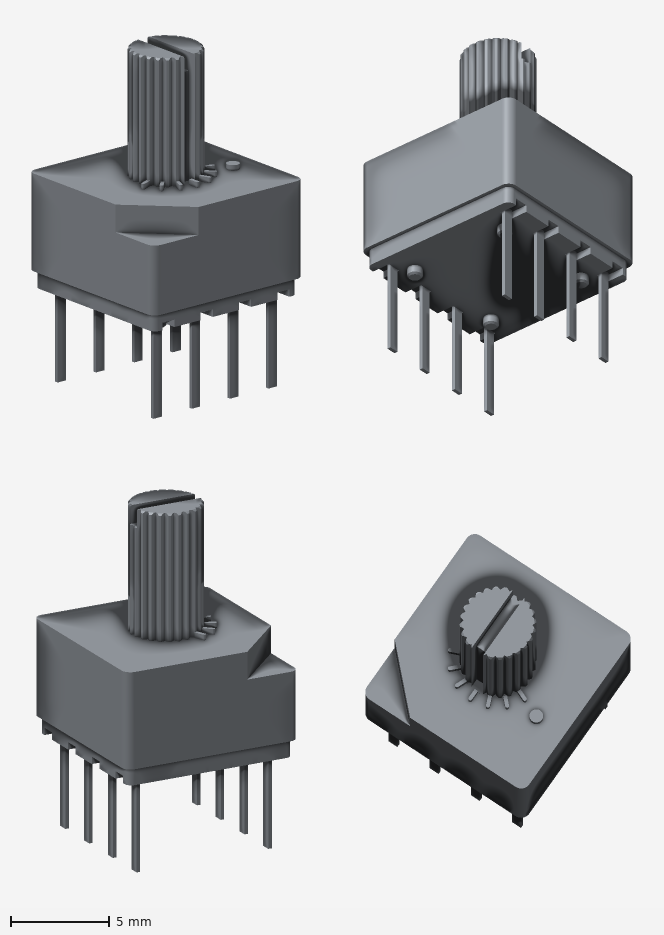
import cadquery as cq
import math


housing_side = 10.0
housing_corner_radius = 0.5
housing_height = 5.25
base_side = 9.53
base_corner_radius = 0.4
base_height = 0.95
housing_top = base_height + housing_height
cut_corner_leg = 3.0
cut_corner_depth = 1.5

pin_pitch = 2.54
pins_per_row = 4
row_spacing = 3 * pin_pitch
pin_width = 0.55
pin_thickness = 0.2
pin_length = 5.0
pin_notch_width = 0.8
pin_notch_height = 0.4

peg_diameter = 0.8
peg_height = 0.5
peg_spacing = 6.0
peg_chamfer = 0.1

mark_height = 0.3
mark_angle_step = 22.5
mark_steps_each_side = 3
tick_width = 0.2
tick_outer_radius = 2.6
dot_diameter = 0.7
dot_circle_radius = 3.57

shaft_radius = 3.9 / 2
shaft_length = 6.9
shaft_top = housing_top + shaft_length
shaft_seat_depth = 1.0
shaft_bottom = housing_top - shaft_seat_depth
shaft_chamfer = 0.1
groove_count = 24
groove_width = 0.4
groove_depth = 0.19
driver_slot_width = 0.7
driver_slot_depth = 1.0
pointer_notch_start = 1.4


def square_block(side, corner_radius, bottom, height):
    """Square block centred on the Z axis with rounded upright edges."""
    block = cq.Workplane("XY", origin=(0, 0, bottom)).rect(side, side).extrude(height)
    return block.edges("|Z").fillet(corner_radius)


def cut_corner():
    """Triangular prism that lowers the top of the housing at the +X, -Y corner."""
    half = housing_side / 2
    return (
        cq.Workplane("XY", origin=(0, 0, housing_top - cut_corner_depth))
        .moveTo(half, -half)
        .lineTo(half, -half + cut_corner_leg)
        .lineTo(half - cut_corner_leg, -half)
        .close()
        .extrude(cut_corner_depth)
    )


def add_pins(body):
    """Notch both X sides of the base and add a flat pin against the back of each notch."""
    pin_x = row_spacing / 2
    notch_back = pin_x - pin_thickness / 2
    notch_depth = base_side / 2 - notch_back
    for side in (-1, 1):
        for index in range(pins_per_row):
            y = (index - (pins_per_row - 1) / 2) * pin_pitch
            notch_x = side * (notch_back + notch_depth / 2)
            notch = cq.Workplane("XY", origin=(notch_x, y, 0))
            body = body.cut(notch.rect(notch_depth, pin_notch_width).extrude(pin_notch_height))
            pin = cq.Workplane("XY", origin=(side * pin_x, y, -pin_length))
            body = body.union(pin.rect(pin_thickness, pin_width).extrude(pin_length + pin_notch_height))
    return body


def pegs():
    """Four chamfered standoffs under the base."""
    return (
        cq.Workplane("XY")
        .rect(peg_spacing, peg_spacing, forConstruction=True)
        .vertices()
        .circle(peg_diameter / 2)
        .extrude(-peg_height)
        .faces("<Z")
        .chamfer(peg_chamfer)
    )


def add_dial_marks(body):
    """Add raised ticks fanned about the +X direction and a dot outside the first tick."""
    top = cq.Workplane("XY", origin=(0, 0, housing_top))
    tick_end = tick_outer_radius - tick_width / 2
    tick = (
        top.moveTo(0, -tick_width / 2)
        .lineTo(tick_end, -tick_width / 2)
        .threePointArc((tick_outer_radius, 0), (tick_end, tick_width / 2))
        .lineTo(0, tick_width / 2)
        .close()
        .extrude(mark_height)
    )
    for step in range(-mark_steps_each_side, mark_steps_each_side + 1):
        body = body.union(tick.rotate((0, 0, 0), (0, 0, 1), step * mark_angle_step))
    dot_angle = math.radians(mark_steps_each_side * mark_angle_step)
    dot_x = dot_circle_radius * math.cos(dot_angle)
    dot_y = dot_circle_radius * math.sin(dot_angle)
    return body.union(top.center(dot_x, dot_y).circle(dot_diameter / 2).extrude(mark_height))


def make_housing():
    """Housing with its base, pins, pegs, dial marks and the round seat of the shaft."""
    body = square_block(base_side, base_corner_radius, 0, base_height)
    body = body.union(square_block(housing_side, housing_corner_radius, base_height, housing_height))
    body = body.cut(cut_corner())
    body = add_pins(body).union(pegs())
    body = add_dial_marks(body)
    seat = cq.Workplane("XY", origin=(0, 0, shaft_bottom)).circle(shaft_radius)
    return body.cut(seat.extrude(shaft_seat_depth + mark_height))


def make_shaft():
    """Shaft with a plain seat, a grooved grip, a driver slot and a pointer notch on +X."""
    shaft = (
        cq.Workplane("XY", origin=(0, 0, shaft_bottom))
        .circle(shaft_radius)
        .extrude(shaft_seat_depth + shaft_length)
        .faces(">Z")
        .chamfer(shaft_chamfer)
    )

    groove_floor = groove_depth - shaft_radius
    groove = (
        cq.Workplane("XY", origin=(0, 0, housing_top))
        .moveTo(groove_floor, 0)
        .lineTo(groove_floor - 2 * groove_depth, groove_width)
        .lineTo(groove_floor - 2 * groove_depth, -groove_width)
        .close()
        .extrude(shaft_length)
    )
    for index in range(groove_count):
        shaft = shaft.cut(groove.rotate((0, 0, 0), (0, 0, 1), index * 360 / groove_count))

    slot = cq.Workplane("XY", origin=(0, 0, shaft_top))
    shaft = shaft.cut(slot.rect(2 * shaft_radius, driver_slot_width).extrude(-driver_slot_depth))

    notch_length = shaft_radius - pointer_notch_start
    notch = cq.Workplane("XY", origin=(pointer_notch_start + notch_length / 2, 0, housing_top))
    return shaft.cut(notch.rect(notch_length, driver_slot_width).extrude(shaft_length))


housing = make_housing()
shaft = make_shaft()
result = cq.Compound.makeCompound([housing.val(), shaft.val()])